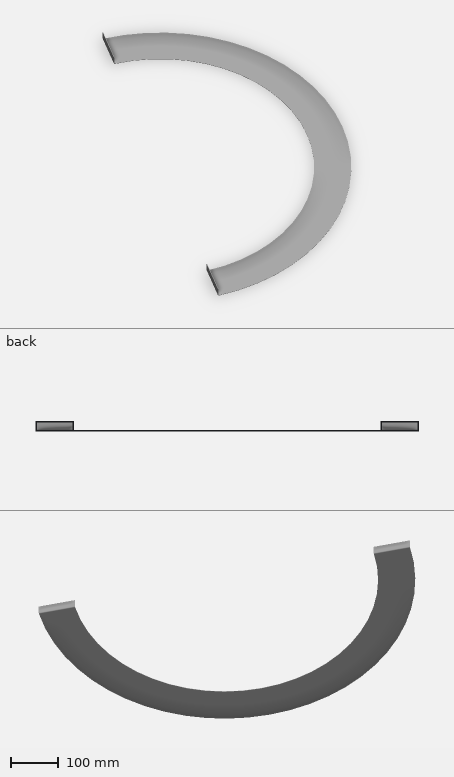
import cadquery as cq

outer_radius = 401.0
inner_radius = 323.0
sheet_thickness = 1.0
inner_bend_radius = 1.0
total_height = 20.0

outer_bend_radius = inner_bend_radius + sheet_thickness
bend_start_y = outer_bend_radius
tab_width = outer_radius - inner_radius


def half_ring_plate():
    """Flat half ring on Z = 0, whose arcs end flush with the sides of the tabs."""
    return (
        cq.Workplane("XY")
        .moveTo(-outer_radius, bend_start_y)
        .threePointArc((0, outer_radius), (outer_radius, bend_start_y))
        .lineTo(inner_radius, bend_start_y)
        .threePointArc((0, inner_radius), (-inner_radius, bend_start_y))
        .close()
        .extrude(sheet_thickness)
    )


def bent_tab(start_x):
    """Upright end tab with its rounded bend, running in +X from start_x."""
    return (
        cq.Workplane("YZ", origin=(start_x, 0, 0))
        .moveTo(0, total_height)
        .lineTo(0, outer_bend_radius)
        .radiusArc((bend_start_y, 0), -outer_bend_radius)
        .lineTo(bend_start_y, sheet_thickness)
        .radiusArc((sheet_thickness, outer_bend_radius), inner_bend_radius)
        .lineTo(sheet_thickness, total_height)
        .close()
        .extrude(tab_width)
    )


result = half_ring_plate()
for tab_start_x in (-outer_radius, inner_radius):
    result = result.union(bent_tab(tab_start_x))